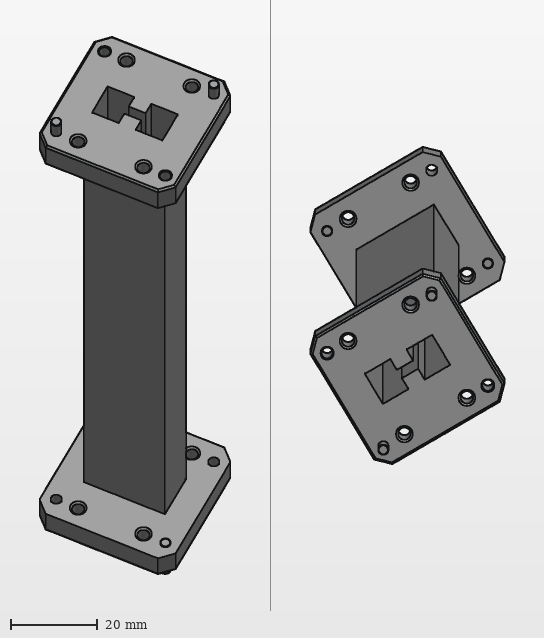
import cadquery as cq

TOTAL_LENGTH = 161.0
PIN_PROJECTION = 4.2

FLANGE_SIDE = 35.0
FLANGE_THICKNESS = 6.8
FLANGE_CORNER = 3.0
FACE_CHAMFER = 0.5

TUBE_WIDTH = 20.8
TUBE_DEPTH = 11.1
BORE_WIDTH = 18.0
BORE_DEPTH = 8.2
RIDGE_WIDTH = 4.3
RIDGE_GAP = 2.3

ROW_Y = 12.7
SCREW_X = 8.4
SCREW_DIAMETER = 2.9
SCREW_CHAMFER = 0.5
DOWEL_X = 14.0
DOWEL_HOLE_DIAMETER = 2.5
PIN_DIAMETER = 2.4
DOWEL_HOLE_CHAMFER = 0.24
PIN_CHAMFER = 0.2

MATING_FACE_Z = TOTAL_LENGTH / 2 - PIN_PROJECTION
INNER_FACE_Z = MATING_FACE_Z - FLANGE_THICKNESS

SCREW_POINTS = [(x, y) for x in (-SCREW_X, SCREW_X) for y in (-ROW_Y, ROW_Y)]
PIN_POINTS = [(-DOWEL_X, -ROW_Y), (DOWEL_X, ROW_Y)]
OPEN_DOWEL_POINTS = [(-DOWEL_X, ROW_Y), (DOWEL_X, -ROW_Y)]


def upright_rods(points, diameter, height):
    """Plain round rods standing on Z = 0."""
    return cq.Workplane("XY").pushPoints(points).circle(diameter / 2).extrude(height)


def hole_cutter(points, diameter, chamfer, face_heights):
    """Through holes in a flange with a 45 degree chamfer at each given face height."""
    cutter = upright_rods(points, diameter, FLANGE_THICKNESS)
    radius = diameter / 2
    for x, y in points:
        for face_z in face_heights:
            direction = cq.Vector(0, 0, 1 if face_z == 0 else -1)
            cone = cq.Solid.makeCone(radius + chamfer, radius, chamfer, cq.Vector(x, y, face_z), direction)
            cutter = cutter.union(cq.Workplane(cone))
    return cutter


def make_flange():
    """Flange with its mating face upward, placed at the top of the part."""
    flange = (
        cq.Workplane("XY")
        .rect(FLANGE_SIDE, FLANGE_SIDE)
        .extrude(FLANGE_THICKNESS)
        .edges("|Z")
        .chamfer(FLANGE_CORNER)
        .faces(">Z")
        .edges()
        .chamfer(FACE_CHAMFER)
    )
    screw_holes = hole_cutter(SCREW_POINTS, SCREW_DIAMETER, SCREW_CHAMFER, (0, FLANGE_THICKNESS))
    dowel_holes = hole_cutter(
        OPEN_DOWEL_POINTS, DOWEL_HOLE_DIAMETER, DOWEL_HOLE_CHAMFER, (FLANGE_THICKNESS,)
    )
    pin_holes = upright_rods(PIN_POINTS, PIN_DIAMETER, FLANGE_THICKNESS)
    flange = flange.cut(screw_holes).cut(dowel_holes).cut(pin_holes)

    pins = upright_rods(PIN_POINTS, PIN_DIAMETER, FLANGE_THICKNESS + PIN_PROJECTION)
    pins = pins.edges("%CIRCLE").chamfer(PIN_CHAMFER)
    return flange.union(pins).translate((0, 0, INNER_FACE_Z))


def make_bore():
    """Rectangular passage narrowed by a ridge from each wide wall."""
    side_width = (BORE_WIDTH - RIDGE_WIDTH) / 2
    side_x = (BORE_WIDTH - side_width) / 2
    sides = (
        cq.Workplane("XY")
        .pushPoints([(-side_x, 0), (side_x, 0)])
        .rect(side_width, BORE_DEPTH)
        .extrude(TOTAL_LENGTH / 2, both=True)
    )
    gap = cq.Workplane("XY").rect(BORE_WIDTH, RIDGE_GAP).extrude(TOTAL_LENGTH / 2, both=True)
    return sides.union(gap)


tube = cq.Workplane("XY").rect(TUBE_WIDTH, TUBE_DEPTH).extrude(INNER_FACE_Z, both=True)
top_flange = make_flange()

bottom_flange = top_flange.rotate((0, 0, 0), (1, 0, 0), 180)

result = tube.union(top_flange).union(bottom_flange).cut(make_bore())